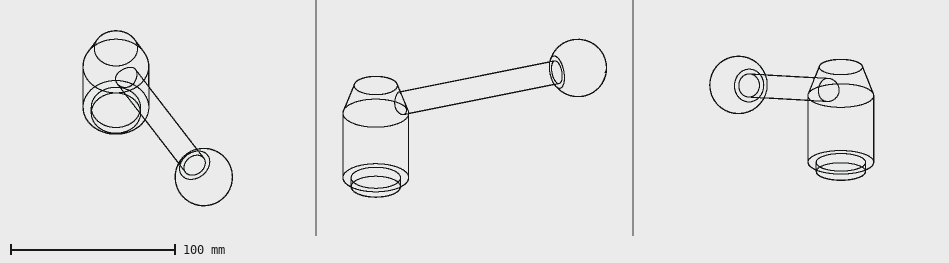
import cadquery as cq
import math

foot_diameter = 30.0
foot_height = 6.0
hub_diameter = 40.0
shoulder_height = 49.4
top_diameter = 26.3
hub_height = 68.0

overall_length = 167.3
overall_height = 117.3
lever_angle = 20.0
rod_diameter = 14.0
ball_diameter = 35.0
ball_flat_diameter = 19.9

ball_radius = ball_diameter / 2
ball_x = overall_length - hub_diameter / 2 - ball_radius
ball_z = overall_height - ball_radius
flat_distance = math.sqrt(ball_radius**2 - (ball_flat_diameter / 2) ** 2)
rod_length = ball_x / math.cos(math.radians(lever_angle))


def make_hub():
    """Revolve the foot, cylindrical body and tapered top."""
    return (
        cq.Workplane("XZ")
        .moveTo(0, 0)
        .lineTo(foot_diameter / 2, 0)
        .lineTo(foot_diameter / 2, foot_height)
        .lineTo(hub_diameter / 2, foot_height)
        .lineTo(hub_diameter / 2, shoulder_height)
        .lineTo(top_diameter / 2, hub_height)
        .lineTo(0, hub_height)
        .close()
        .revolve(360, (0, 0, 0), (0, 1, 0))
    )


def make_lever():
    """Build rod and flat-faced ball along +X from the ball centre, then tilt."""
    rod = cq.Workplane("YZ").circle(rod_diameter / 2).extrude(-rod_length)
    ball_side = cq.Workplane("XY").box(
        ball_radius + flat_distance, ball_diameter, ball_diameter
    ).translate(((ball_radius - flat_distance) / 2, 0, 0))
    ball = cq.Workplane("XY").sphere(ball_radius).intersect(ball_side)
    return (
        rod.union(ball)
        .rotate((0, 0, 0), (0, 1, 0), -lever_angle)
        .translate((ball_x, 0, ball_z))
    )


result = make_hub().union(make_lever())